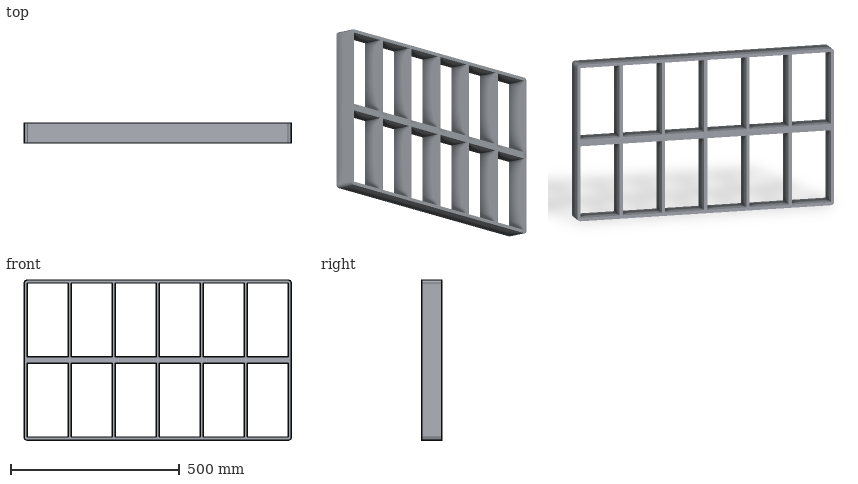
import cadquery as cq

width = 793.0
depth = 60.0
height = 476.0
corner_radius = 10.0

columns = 6
rows = 2
border = 10.0
divider = 10.0
middle_rail = 20.0

opening_width = (width - 2 * border - (columns - 1) * divider) / columns
opening_height = (height - 2 * border - (rows - 1) * middle_rail) / rows


def make_block():
    """Solid block centred on the origin, rounded along its four depth-wise edges."""
    block = cq.Workplane("XY").box(width, depth, height)
    return block.edges("|Y").fillet(corner_radius)


def make_openings():
    """Rectangular cutters, one per grid cell, running through the full depth."""
    return (
        cq.Workplane("XZ")
        .rarray(opening_width + divider, opening_height + middle_rail, columns, rows)
        .rect(opening_width, opening_height)
        .extrude(depth / 2, both=True)
    )


result = make_block().cut(make_openings())